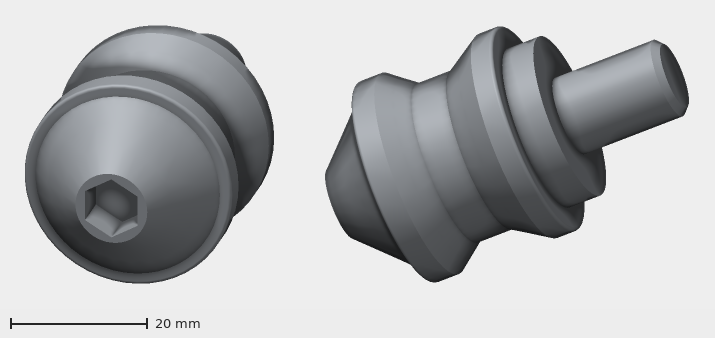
import cadquery as cq
import math

total_length = 54.0
head_length = 9.0
rim_width = 3.85
rim_taper_length = 4.45
neck_length = 5.6
flange_taper_length = 5.7
flange_width = 3.4
collar_length = 5.0

rim_front = head_length
rim_back = rim_front + rim_width
neck_front = rim_back + rim_taper_length
neck_back = neck_front + neck_length
flange_front = neck_back + flange_taper_length
flange_back = flange_front + flange_width
collar_back = flange_back + collar_length

rim_radius = 15.75
neck_radius = 12.5
flange_radius = 32.0 / 2
edge_fillet = 0.5

head_tip_radius = 5.45
head_base_radius = 14.0
shank_radius = 6.0
shank_chamfer = 1.0
socket_flats = 8.0
socket_depth = 6.0


def revolve_about_y(points):
    """Revolve a closed (radius, y) outline a full turn about the Y axis."""
    return cq.Workplane("XY").polyline(points).close().revolve(360, (0, 0, 0), (0, 1, 0))


def circle_edge_at(radius, y):
    """Selector for the circular edge of the given radius at station y."""
    margin = edge_fillet / 2
    reach = radius + margin
    return cq.selectors.BoxSelector(
        (-reach, y - margin, -reach), (reach, y + margin, reach), boundingbox=True
    )


def make_spool():
    """Grooved spool with a rear collar and a through bore for the bolt shank."""
    spool = revolve_about_y([
        (shank_radius, rim_front),
        (rim_radius, rim_front),
        (rim_radius, rim_back),
        (neck_radius, neck_front),
        (neck_radius, neck_back),
        (flange_radius, flange_front),
        (flange_radius, flange_back),
        (neck_radius, flange_back),
        (neck_radius, collar_back),
        (shank_radius, collar_back),
    ])
    for radius, y in ((rim_radius, rim_front), (flange_radius, flange_back)):
        rounded_edge = spool.edges(circle_edge_at(radius, y)).edges(
            cq.selectors.RadiusNthSelector(-1)
        )
        spool = rounded_edge.fillet(edge_fillet)
    return spool


def make_bolt():
    """Conical-headed bolt with a hexagonal socket in its tip."""
    bolt = revolve_about_y([
        (0, 0),
        (head_tip_radius, 0),
        (head_base_radius, head_length),
        (shank_radius, head_length),
        (shank_radius, total_length - shank_chamfer),
        (shank_radius - shank_chamfer, total_length),
        (0, total_length),
    ])
    corner_diameter = socket_flats / math.cos(math.radians(30))
    socket = (
        cq.Workplane("XZ")
        .transformed(rotate=(0, 0, 90))
        .polygon(6, corner_diameter)
        .extrude(-socket_depth)
    )
    return bolt.cut(socket)


spool = make_spool()
bolt = make_bolt()

result = cq.Compound.makeCompound([spool.val(), bolt.val()])